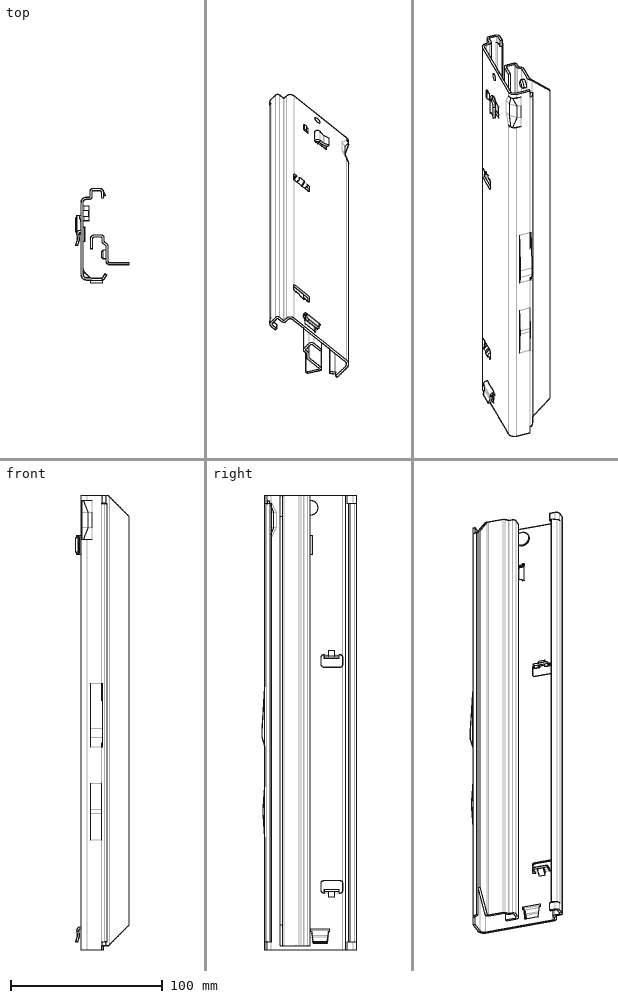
import cadquery as cq
import math

sheet = 1.5
rail_top = 150.0
outer_bottom = -150.0
inner_bottom = -147.3

wall_x = -14.0
hook_x = -8.0
hook_y = 31.2
shoulder_y = 25.5
base_y = -29.5
lip_angle = math.radians(60)
hook_lip_x = -0.3
hook_lip_length = 5.0
base_lip_x = 1.0
base_lip_length = 4.2
stop_x = 1.0
stop_tip_y = 25.0
stop_length = 5.5
base_end_x = -0.3
shoulder_bend = 2.0
base_bend = 2.7
small_bend = 1.0
tight_bend = 0.3

leg_x = -7.8
leg_tip_y = -8.7
crown_y = 0.5
crown_right_x = 1.2
jog_start_y = -3.5
jog_end_y = -6.0
web_x = 4.0
flange_y = -17.7
flange_end_x = 17.7

button_y = -12.3
button_z = 142.0
button_radius = 3.0
button_height = 3.0
button_chamfer = 1.2

rivet_y = 1.0
rivet_z = button_z
rivet_radius = 2.5
rivet_head_radius = 4.8
rivet_head_height = 1.2

lug_length = 10.0
lug_root_width = 12.5
lug_root_length = 3.0
lug_neck_width = 11.0
lug_tip_width = 9.3
lug_root_x = -17.0
lug_waist_x = -16.5
lug_waist_length = 6.0
lug_tip_x = -17.7
lug_bend = 1.0
window_length = 10.8
lug_places = [(3.5, 117.3, 90), (7.2, -134.7, 0)]

slot_y = 15.0
slot_width = 14.5
slot_height = 8.0
slot_corner = 1.8
slot_centers = [(40.8, 1), (-108.3, -1)]
tab_y = 14.7
tab_width = 10.0
tab_end_x = -8.7
tab_bend = 1.0
gusset_width = 4.2
gusset_leg = 3.5

catch_top_y = 13.5
catch_flat_width = 1.8
catch_ramp_width = 2.5
catch_height = 1.0
catch_z = 117.3
catch_length = 5.7

dent_z = 133.8
dent_flat_half = 5.0
dent_half = 13.0
dent_reach_x = 7.2
dent_reach_y = 8.5
dent_floor_near = 1.0
dent_floor_far = 4.8
dent_end_reach_y = 4.2
dent_end_near = 0.75
dent_end_far = 1.65

pad_left_x = -7.8
long_pad_right_x = 0.3
long_pad_z = [25.8, -4.0, -9.5, -16.0]
long_pad_height = 1.8
short_pad_right_x = -0.5
short_pad_z = [-40.2, -57.3, -60.0, -77.5]
short_pad_height = 1.2


def left_normal(start, end):
    """Unit normal to the left of the line from start to end."""
    length = math.dist(start, end)
    return ((start[1] - end[1]) / length, (end[0] - start[0]) / length)


def bent_sheet(path, bends, bottom, top):
    """Sheet whose right face follows path; bends holds the inside radius at each corner."""
    normals = [left_normal(a, b) for a, b in zip(path, path[1:])]
    joint_normals = list(zip([normals[0], *normals], [*normals, normals[-1]]))
    far_side = []
    for (x, y), (n1, n2) in zip(path, joint_normals):
        stretch = sheet / (1 + n1[0] * n2[0] + n1[1] * n2[1])
        far_side.append((x + stretch * (n1[0] + n2[0]), y + stretch * (n1[1] + n2[1])))
    body = cq.Workplane("XY").workplane(offset=bottom).polyline(path + far_side[::-1]).close()
    body = body.extrude(top - bottom)
    middle = (bottom + top) / 2
    for i, bend in enumerate(bends, start=1):
        (n1, n2) = joint_normals[i]
        turns_left = n1[0] * n2[1] - n1[1] * n2[0] > 0
        inside, outside = (far_side[i], path[i]) if turns_left else (path[i], far_side[i])
        for point, radius in ((inside, bend), (outside, bend + sheet)):
            edge = cq.selectors.NearestToPointSelector((*point, middle))
            body = body.edges("|Z").edges(edge).fillet(radius)
    return body


def outer_section(hook_tip, hook_corner_x, base_tips, base_bends, bottom, top):
    """Length of the outer rail between two heights, with the given lips."""
    path = [
        hook_tip,
        (hook_corner_x, hook_y),
        (hook_x, hook_y),
        (hook_x, shoulder_y),
        (wall_x, shoulder_y),
        (wall_x, base_y),
        *base_tips,
    ]
    bends = [small_bend, tight_bend, tight_bend, shoulder_bend, base_bend, *base_bends]
    return bent_sheet(path, bends, bottom, top)


def outer_profile():
    """Rail section with flared lips, and a straight stop instead of the lips at both ends."""
    lip_dx, lip_dy = math.cos(lip_angle), math.sin(lip_angle)
    hook_tip = (hook_lip_x + hook_lip_length * lip_dx, hook_y - hook_lip_length * lip_dy)
    base_tip = (base_lip_x + base_lip_length * lip_dx, base_y + base_lip_length * lip_dy)
    low, high = outer_bottom + stop_length, rail_top - stop_length
    rail = outer_section(hook_tip, hook_lip_x, [(base_lip_x, base_y), base_tip], [small_bend], low, high)
    for bottom, top in ((outer_bottom, low), (high, rail_top)):
        end = outer_section((stop_x, stop_tip_y), stop_x, [(base_end_x, base_y)], [], bottom, top)
        rail = rail.union(end)
    return rail


def dent_block(shift):
    """Block over the lower corner, shallower at both ends, moved inward by shift along X and Y."""
    deep = [
        (0, 0),
        (0, dent_reach_y),
        (dent_floor_near, dent_floor_far),
        (dent_floor_far, dent_floor_near),
        (dent_reach_x, 0),
    ]
    shallow = [
        (0, 0),
        (0, dent_end_reach_y),
        (dent_end_near, dent_end_far),
        (dent_end_far, dent_end_near),
        (dent_reach_x, 0),
    ]
    corner = (wall_x + shift, base_y + shift)
    block = cq.Workplane("XY", origin=(*corner, dent_z - dent_flat_half))
    block = block.polyline(deep).close().extrude(2 * dent_flat_half)
    for side in (1, -1):
        ramp = cq.Workplane("XY", origin=(*corner, dent_z + side * dent_flat_half)).polyline(deep).close()
        ramp = ramp.workplane(offset=side * (dent_half - dent_flat_half))
        block = block.union(ramp.polyline(shallow).close().loft(ruled=True))
    return block


def press_corner_dent(rail):
    return rail.union(dent_block(sheet / math.sqrt(2))).cut(dent_block(0))


def lug_plan(length, depth):
    """Block over the wall whose outline is that of a lug hanging down from z = 0."""
    right_side = [
        (lug_root_width / 2, 0),
        (lug_root_width / 2, -lug_root_length),
        (lug_neck_width / 2, -lug_root_length),
        (lug_tip_width / 2, -length),
    ]
    left_side = [(-y, z) for y, z in right_side[::-1]]
    plan = cq.Workplane("YZ", origin=(wall_x + sheet, 0, 0)).polyline(right_side + left_side)
    return plan.close().extrude(-depth)


def lug_and_window():
    """A lug hanging down from its root at z = 0, and the window below the root in the wall."""
    path = [
        (wall_x + sheet, 0),
        (lug_root_x, 0),
        (lug_waist_x, -lug_waist_length),
        (lug_tip_x, -lug_length),
    ]
    half_width = lug_root_width / 2
    lug = bent_sheet(path, [lug_bend, lug_bend], -half_width, half_width)
    lug = lug.rotate((0, 0, 0), (1, 0, 0), 90)
    lug = lug.intersect(lug_plan(lug_length, wall_x + sheet - lug_tip_x))
    root = cq.Workplane("XY").rect(4 * lug_length, 4 * lug_length).extrude(-sheet)
    return lug, lug_plan(window_length, sheet).cut(root)


def add_lugs(rail):
    lug, window = lug_and_window()
    for y, z, turn in lug_places:
        placed = [
            shape.rotate((0, 0, 0), (1, 0, 0), -turn).translate((0, y, z)) for shape in (lug, window)
        ]
        rail = rail.cut(placed[1]).union(placed[0])
    return rail


def slot_tab():
    """Tab bent inward from a slot edge at z = 0, with the tab hanging below that edge."""
    inner_x = wall_x + sheet
    outer_bend = tab_bend + sheet
    diagonal = math.sqrt(0.5)
    tab = cq.Workplane("XZ", origin=(0, tab_y, 0)).moveTo(wall_x, 0)
    tab = tab.threePointArc(
        (wall_x + outer_bend * (1 - diagonal), -outer_bend * diagonal), (wall_x + outer_bend, -outer_bend)
    )
    tab = tab.lineTo(tab_end_x, -outer_bend).lineTo(tab_end_x, -tab_bend).lineTo(inner_x + tab_bend, -tab_bend)
    tab = tab.threePointArc((inner_x + tab_bend * (1 - diagonal), -tab_bend * diagonal), (inner_x, 0))
    return tab.close().extrude(tab_width / 2, both=True)


def slot_gusset(offset):
    """Triangular rib at the bend of a tab; offset moves it from the outer to the inner side."""
    corner_x = wall_x + offset
    corner_z = offset - tab_bend - sheet
    outline = [(corner_x, corner_z), (corner_x, corner_z + gusset_leg), (corner_x + gusset_leg, corner_z)]
    rib = cq.Workplane("XZ", origin=(0, tab_y, 0)).polyline(outline).close()
    return rib.extrude(gusset_width / 2, both=True)


def add_slots(rail):
    groove = slot_gusset(0)
    tab = slot_tab().union(slot_gusset(sheet)).cut(groove)
    for z, side in slot_centers:
        slot = cq.Workplane("YZ", origin=(wall_x, slot_y, z)).rect(slot_width, slot_height)
        slot = slot.extrude(sheet).edges("|X").fillet(slot_corner)
        edge = (0, 0, z + side * slot_height / 2)
        placed_tab, placed_groove = [
            (shape if side > 0 else shape.mirror("XY")).translate(edge) for shape in (tab, groove)
        ]
        rail = rail.cut(slot).union(placed_tab).cut(placed_groove)
    return rail


def add_catch(rail):
    ramp_start_y = catch_top_y - catch_flat_width
    outline = [
        (wall_x, catch_top_y),
        (wall_x - catch_height, catch_top_y),
        (wall_x - catch_height, ramp_start_y),
        (wall_x, ramp_start_y - catch_ramp_width),
    ]
    catch = cq.Workplane("XY", origin=(0, 0, catch_z - catch_length / 2))
    return rail.union(catch.polyline(outline).close().extrude(catch_length))


def add_pad(rail, right_x, heights, rise):
    """Pad under the base that ramps up, runs flat and ramps down along Z."""
    start, flat_start, flat_end, end = heights
    crest_y = base_y - rise
    outline = [(base_y, start), (crest_y, flat_start), (crest_y, flat_end), (base_y, end)]
    pad = cq.Workplane("YZ", origin=(pad_left_x, 0, 0)).polyline(outline).close()
    return rail.union(pad.extrude(right_x - pad_left_x))


def make_rivet():
    """Rivet flush with the outside of the wall, with its head on the inside."""
    shank = cq.Workplane("YZ", origin=(wall_x, rivet_y, rivet_z)).circle(rivet_radius).extrude(sheet)
    return shank.faces(">X").workplane().circle(rivet_head_radius).extrude(rivet_head_height)


def make_outer_rail():
    rail = press_corner_dent(outer_profile())
    rail = add_lugs(rail)
    rail = add_slots(rail)
    rail = add_catch(rail)
    rail = add_pad(rail, long_pad_right_x, long_pad_z, long_pad_height)
    rail = add_pad(rail, short_pad_right_x, short_pad_z, short_pad_height)
    return rail.cut(make_rivet())


def mitered_outline():
    """Block around the inner rail, with the flange cut at 45 degrees at both ends."""
    miter = flange_end_x - web_x
    outline = [
        (leg_x, inner_bottom),
        (web_x, inner_bottom),
        (flange_end_x, inner_bottom + miter),
        (flange_end_x, rail_top - miter),
        (web_x, rail_top),
        (leg_x, rail_top),
    ]
    return cq.Workplane("XZ").polyline(outline).close().extrude(hook_y, both=True)


def make_inner_rail():
    path = [
        (flange_end_x, flange_y),
        (web_x, flange_y),
        (web_x, jog_end_y),
        (crown_right_x, jog_start_y),
        (crown_right_x, crown_y),
        (leg_x, crown_y),
        (leg_x, leg_tip_y),
    ]
    bends = [small_bend, tight_bend, tight_bend, tight_bend, small_bend]
    rail = bent_sheet(path, bends, inner_bottom, rail_top)
    rail = rail.intersect(mitered_outline())
    web_inner_x = web_x - sheet
    button = cq.Workplane("YZ", origin=(web_inner_x, button_y, button_z)).circle(button_radius)
    button = button.extrude(-button_height).faces("<X").chamfer(button_chamfer)
    return rail.union(button)


outer_rail = make_outer_rail()
inner_rail = make_inner_rail()
rivet = make_rivet()
result = cq.Compound.makeCompound([outer_rail.val(), inner_rail.val(), rivet.val()])